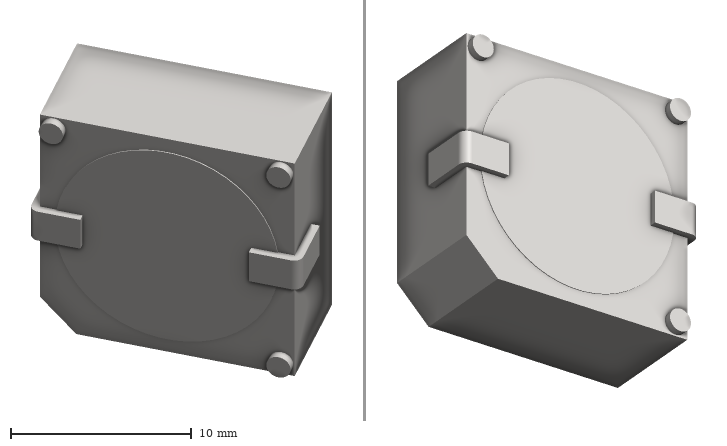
import cadquery as cq

total_width = 15.8
total_depth = 7.32
body_side = 14.8
metal_thickness = (total_width - body_side) / 2

body_depth = total_depth - metal_thickness
corner_chamfer = 2.12

plate_diameter = 13.0
plate_height = 0.06

peg_diameter = 1.4
peg_inset = 0.79
peg_height = metal_thickness

terminal_width = 2.0
terminal_front_length = 3.0
terminal_side_length = 3.5
bend_radius = 0.54

half_side = body_side / 2
half_width = total_width / 2


def make_body():
    """Square block with its lower left edge cut off."""
    block = cq.Workplane("XY").box(body_side, body_depth, body_side).translate((0, body_depth / 2, 0))
    return block.edges("|Y and <X and <Z").chamfer(corner_chamfer)


def front_disc(x, z, diameter, height):
    """Disc at (x, z) rising from the front face toward -Y."""
    return cq.Workplane("XZ").center(x, z).circle(diameter / 2).extrude(height)


def make_terminal(side):
    """Bent strip on the left (side = -1) or right (side = 1)."""
    front_y = -metal_thickness
    back_y = front_y + terminal_side_length
    inner_x = half_width - terminal_front_length
    profile = [
        (inner_x, front_y),
        (half_width, front_y),
        (half_width, back_y),
        (half_side, back_y),
        (half_side, 0),
        (inner_x, 0),
    ]
    strip = (
        cq.Workplane("XY")
        .polyline([(side * x, y) for x, y in profile])
        .close()
        .extrude(terminal_width / 2, both=True)
    )
    outer_edge = cq.selectors.NearestToPointSelector((side * half_width, front_y, 0))
    return strip.edges(outer_edge).fillet(bend_radius)


result = make_body()
result = result.union(front_disc(0, 0, plate_diameter, plate_height))

peg_offset = half_side - peg_inset
for x_side, z_side in [(-1, 1), (1, 1), (1, -1)]:
    result = result.union(front_disc(x_side * peg_offset, z_side * peg_offset, peg_diameter, peg_height))

for side in (-1, 1):
    result = result.union(make_terminal(side))